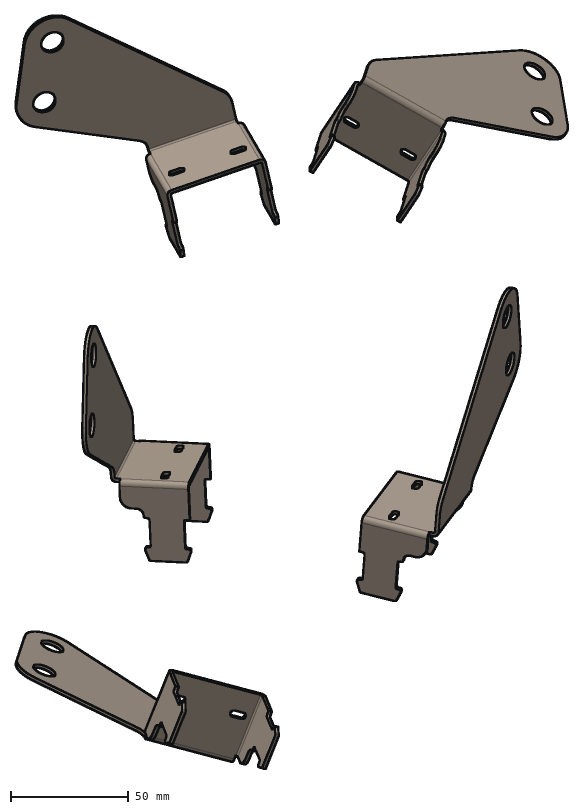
import cadquery as cq
import math

SHEET = 1.65
BEND_OUTER = 2.4
BEND_INNER = BEND_OUTER - SHEET
TILT = 11.1

OVERALL_X = 34.03
BASE_LENGTH = 40.0
HALF_BASE = BASE_LENGTH / 2

SLOT_WIDTH = 3.0
SLOT_LENGTH = 7.0
SLOT_SPACING = 28.0
SLOT_X = 22.5

LEG_WIDTH = 30.0
LEG_LEFT = OVERALL_X - LEG_WIDTH
LEG_TIP_Z = -35.0
ARM_BOTTOM_Z = -10.95
ARM_CORNER_RADIUS = 5.0
ARM_ROOT_RADIUS = 3.0
HOOK_WIDTH = 20.0
NECK_WIDTH = 15.0
NECK_TOP_Z = -15.1
NECK_BOTTOM_Z = -28.8
HOOK_TAPER_Z = -30.0
HOOK_TAPER_ANGLE = 20.0
HOOK_RADIUS = 1.0

HOLE_DIAMETER = 10.0
HOLE_SPACING = 30.0
HOLE_LINE_ANGLE = 18.0
LOWER_HOLE = (59.2, 43.68)
PLATE_END_RADIUS = 12.5
UPPER_EDGE_ANGLE = 47.2
LOWER_EDGE_ANGLE = 30.3
SHOULDER_RADIUS = 10.0
THROAT_RADIUS = 6.0


def step(point, angle, distance):
    """Point reached by moving a distance at an angle in degrees."""
    turn = math.radians(angle)
    return (point[0] + distance * math.cos(turn), point[1] + distance * math.sin(turn))


def quarter_bend(plane, centre, start_angle):
    """Sketch of a quarter ring of sheet, turning 90 degrees on from start_angle."""
    middle_angle = start_angle + 45
    end_angle = start_angle + 90
    return (
        cq.Workplane(plane)
        .moveTo(*step(centre, start_angle, BEND_INNER))
        .lineTo(*step(centre, start_angle, BEND_OUTER))
        .threePointArc(step(centre, middle_angle, BEND_OUTER), step(centre, end_angle, BEND_OUTER))
        .lineTo(*step(centre, end_angle, BEND_INNER))
        .threePointArc(step(centre, middle_angle, BEND_INNER), step(centre, start_angle, BEND_INNER))
        .close()
    )


def height_on_line(point, angle, across):
    """Height of a sloping line at a given distance across."""
    return point[1] + (across - point[0]) * math.tan(math.radians(angle))


def make_base():
    """Flat base with its slots, starting where the mounting plate's bend ends."""
    base = cq.Workplane("XY").box(
        OVERALL_X - BEND_OUTER, BASE_LENGTH, SHEET, centered=(False, True, False)
    ).translate((BEND_OUTER, 0, 0))
    slots = (
        cq.Workplane("XY")
        .pushPoints([(SLOT_X, -SLOT_SPACING / 2), (SLOT_X, SLOT_SPACING / 2)])
        .slot2D(SLOT_LENGTH, SLOT_WIDTH, 90)
        .extrude(SHEET)
    )
    return base.cut(slots)


def make_mounting_plate():
    """Upright plate with two holes, and the bend joining it to the base."""
    upper_hole = step(LOWER_HOLE, 90 + HOLE_LINE_ANGLE, HOLE_SPACING)
    right_angle = HOLE_LINE_ANGLE
    upper_normal = UPPER_EDGE_ANGLE + 90
    lower_normal = LOWER_EDGE_ANGLE - 90
    throat_angle = LOWER_EDGE_ANGLE + 90

    upper_tangent = step(upper_hole, upper_normal, PLATE_END_RADIUS)
    lower_tangent = step(LOWER_HOLE, lower_normal, PLATE_END_RADIUS)
    shoulder = (-HALF_BASE, height_on_line(upper_tangent, UPPER_EDGE_ANGLE, -HALF_BASE))
    throat = (HALF_BASE, height_on_line(lower_tangent, LOWER_EDGE_ANGLE, HALF_BASE))

    shoulder_cut = SHOULDER_RADIUS * math.tan(math.radians(90 - UPPER_EDGE_ANGLE) / 2)
    throat_cut = THROAT_RADIUS * math.tan(math.radians(90 - LOWER_EDGE_ANGLE) / 2)
    shoulder_centre = (shoulder[0] + SHOULDER_RADIUS, shoulder[1] - shoulder_cut)
    throat_centre = (throat[0] + THROAT_RADIUS, throat[1] - throat_cut)

    plane = cq.Plane(origin=(SHEET, 0, 0), xDir=(0, -1, 0), normal=(-1, 0, 0))
    plate = (
        cq.Workplane(plane)
        .moveTo(-HALF_BASE, BEND_OUTER)
        .lineTo(-HALF_BASE, shoulder_centre[1])
        .threePointArc(
            step(shoulder_centre, (180 + upper_normal) / 2, SHOULDER_RADIUS),
            step(shoulder_centre, upper_normal, SHOULDER_RADIUS),
        )
        .lineTo(*upper_tangent)
        .threePointArc(
            step(upper_hole, (upper_normal + right_angle) / 2, PLATE_END_RADIUS),
            step(upper_hole, right_angle, PLATE_END_RADIUS),
        )
        .lineTo(*step(LOWER_HOLE, right_angle, PLATE_END_RADIUS))
        .threePointArc(
            step(LOWER_HOLE, (right_angle + lower_normal) / 2, PLATE_END_RADIUS),
            lower_tangent,
        )
        .lineTo(*step(throat_centre, throat_angle, THROAT_RADIUS))
        .threePointArc(
            step(throat_centre, (180 + throat_angle) / 2, THROAT_RADIUS),
            step(throat_centre, 180, THROAT_RADIUS),
        )
        .lineTo(HALF_BASE, BEND_OUTER)
        .close()
        .extrude(SHEET)
    )
    holes = (
        cq.Workplane(plane)
        .pushPoints([LOWER_HOLE, upper_hole])
        .circle(HOLE_DIAMETER / 2)
        .extrude(SHEET)
    )
    bend = quarter_bend("XZ", (BEND_OUTER, BEND_OUTER), 180).extrude(HALF_BASE, both=True)
    return plate.cut(holes).union(bend)


def round_corners(leg, corners, middle_y, radius):
    """Fillet the through-thickness edges of a flat leg at the given (x, z) corners."""
    for x, z in corners:
        corner = cq.Vector(x, middle_y, z)
        edge = min(leg.edges("|Y").vals(), key=lambda e: (e.Center() - corner).Length)
        leg = leg.newObject([edge]).fillet(radius)
    return leg


def make_leg():
    """Hooked leg hanging from the -Y end of the base, with its bend."""
    top_z = SHEET - BEND_OUTER
    inner_y = -HALF_BASE - BEND_INNER
    middle_y = inner_y - SHEET / 2
    hook_left = OVERALL_X - HOOK_WIDTH
    hook_centre = OVERALL_X - HOOK_WIDTH / 2
    neck_left = hook_centre - NECK_WIDTH / 2
    neck_right = hook_centre + NECK_WIDTH / 2
    taper = (HOOK_TAPER_Z - LEG_TIP_Z) * math.tan(math.radians(HOOK_TAPER_ANGLE))

    arm_corner = (LEG_LEFT, ARM_BOTTOM_Z)
    arm_root = (hook_left, ARM_BOTTOM_Z)
    left_neck = [
        (hook_left, NECK_TOP_Z),
        (neck_left, NECK_TOP_Z),
        (neck_left, NECK_BOTTOM_Z),
        (hook_left, NECK_BOTTOM_Z),
    ]
    tip = [(hook_left + taper, LEG_TIP_Z), (OVERALL_X - taper, LEG_TIP_Z)]
    right_neck = [
        (OVERALL_X, NECK_BOTTOM_Z),
        (neck_right, NECK_BOTTOM_Z),
        (neck_right, NECK_TOP_Z),
    ]
    outline = [
        (LEG_LEFT, top_z),
        arm_corner,
        arm_root,
        *left_neck,
        (hook_left, HOOK_TAPER_Z),
        *tip,
        (OVERALL_X, HOOK_TAPER_Z),
        *right_neck,
        (OVERALL_X, NECK_TOP_Z),
        (OVERALL_X, top_z),
    ]
    leg = (
        cq.Workplane("XZ", origin=(0, inner_y, 0))
        .polyline(outline)
        .close()
        .extrude(SHEET)
    )

    leg = round_corners(leg, left_neck + tip + right_neck, middle_y, HOOK_RADIUS)
    leg = round_corners(leg, [arm_root], middle_y, ARM_ROOT_RADIUS)
    leg = round_corners(leg, [arm_corner], middle_y, ARM_CORNER_RADIUS)

    bend = (
        quarter_bend("YZ", (-HALF_BASE, top_z), 90)
        .extrude(LEG_WIDTH)
        .translate((LEG_LEFT, 0, 0))
    )
    return leg.union(bend)


near_leg = make_leg()
far_leg = near_leg.mirror("XZ")
bracket = make_base().union(make_mounting_plate()).union(near_leg).union(far_leg)
result = bracket.rotate((0, 0, 0), (1, 0, 0), TILT)